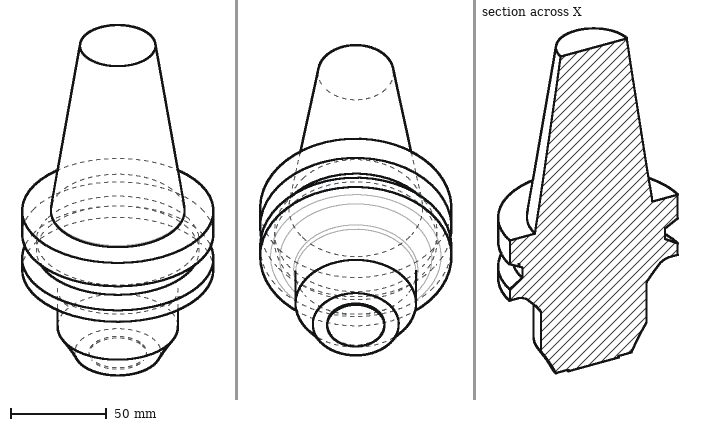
import cadquery as cq

total_height = 191.8
flange_radius = 100.0 / 2
groove_radius = 85.0 / 2
gauge_radius = 69.8 / 2
body_radius = 63.0 / 2
taper_tip_radius = 19.8
nose_tip_radius = 22.5
end_boss_radius = 15.0

end_boss_height = 1.0
nose_top = 16.7
body_top = 39.9
flange_bottom = 52.4
lower_rim_top = 59.5
groove_bottom = 64.3
groove_top = 70.4
upper_rim_bottom = 74.5
flange_top = 89.0
taper_start = 90.0

nose_bow = 0.4
nose_middle_radius = (nose_tip_radius + body_radius) / 2 - nose_bow
nose_middle_height = (end_boss_height + nose_top) / 2

shoulder_low = (32.5, 42.2)
shoulder_low_middle = (31.6, 41.0)
shoulder_high = (39.7, 50.5)
shoulder_high_middle = (41.8, 51.5)
shoulder_top_radius = 44.5

profile = (
    cq.Workplane("XZ")
    .moveTo(0, 0)
    .lineTo(end_boss_radius, 0)
    .lineTo(end_boss_radius, end_boss_height)
    .lineTo(nose_tip_radius, end_boss_height)
    .threePointArc((nose_middle_radius, nose_middle_height), (body_radius, nose_top))
    .lineTo(body_radius, body_top)
    .threePointArc(shoulder_low_middle, shoulder_low)
    .lineTo(*shoulder_high)
    .threePointArc(shoulder_high_middle, (shoulder_top_radius, flange_bottom))
    .lineTo(flange_radius, flange_bottom)
    .lineTo(flange_radius, lower_rim_top)
    .lineTo(groove_radius, groove_bottom)
    .lineTo(groove_radius, groove_top)
    .lineTo(flange_radius, upper_rim_bottom)
    .lineTo(flange_radius, flange_top)
    .lineTo(gauge_radius, flange_top)
    .lineTo(gauge_radius, taper_start)
    .lineTo(taper_tip_radius, total_height)
    .lineTo(0, total_height)
    .close()
)

result = profile.revolve(360, (0, 0, 0), (0, 1, 0))